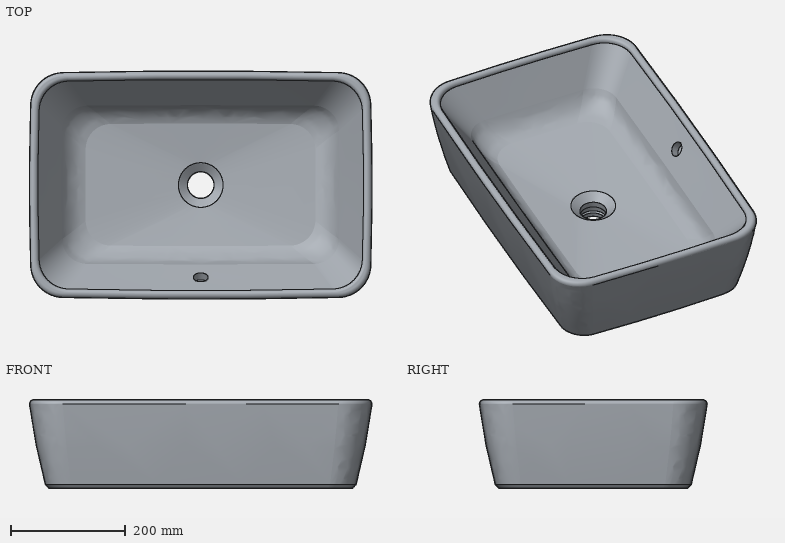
import cadquery as cq
import math

LENGTH = 598.13
WIDTH = 398.12
HEIGHT = 155.0


RIM_OUTER_Z = 147.0
WAIST_Z = 77.0
FOOT_Z = 7.0
WAIST_INSET = 11.5
FOOT_INSET = 27.5
BASE_INSET = 34.0
OUTER_BOW = 4.0
OUTER_CORNER = 58.0
CORNER_SHRINK = 0.5

RIM_WIDTH = 15.0
RIM_INNER_Z = 147.0
RIM_OUTER_RADIUS = 7.8
RIM_INNER_RADIUS = 7.0

BASIN_BOW = 4.0
BASIN_CORNER = 52.0
SHOULDER_LENGTH = 485.0
SHOULDER_WIDTH = 278.0
SHOULDER_Z = 87.0
SHOULDER_BOW = 1.5
SHOULDER_CORNER = 44.0
FLOOR_LENGTH = 402.0
FLOOR_WIDTH = 214.0
FLOOR_EDGE_Z = 53.5
FLOOR_BOW = 1.5
FLOOR_CORNER = 44.0
COVE_SAG = 4.0

DRAIN_MOUTH_DIAMETER = 78.0
DRAIN_SEAT_DIAMETER = 73.0
DRAIN_HOLE_DIAMETER = 46.0
DRAIN_MOUTH_Z = 45.0
DRAIN_SEAT_Z = 43.5
DRAIN_HOLE_Z = 33.0

GROOVE_DEPTH = 2.7
GROOVE_TOP_Z = 22.0
GROOVE_BOTTOM_Z = 8.0

OVERFLOW_DIAMETER = 25.5
OVERFLOW_Y = -161.0
OVERFLOW_DEPTH = 15.0


def outline(length, width, bow, corner_radius, z):
    """Closed wire at height z with four bowed sides and rounded corners."""
    x = length / 2 - bow
    y = width / 2 - bow
    sharp = (
        cq.Workplane("XY")
        .moveTo(-x, -y)
        .threePointArc((0, -width / 2), (x, -y))
        .threePointArc((length / 2, 0), (x, y))
        .threePointArc((0, width / 2), (-x, y))
        .threePointArc((-length / 2, 0), (-x, -y))
        .wire()
        .val()
    )
    face = cq.Face.makeFromWires(sharp)
    rounded = face.fillet2D(corner_radius, face.Vertices())
    return rounded.outerWire().translate(cq.Vector(0, 0, z))


def outer_outline(inset, z):
    """Outline of the outer shell, set in from the rim on every side."""
    corner = OUTER_CORNER - CORNER_SHRINK * inset
    return outline(LENGTH - 2 * inset, WIDTH - 2 * inset, OUTER_BOW, corner, z)


def drain_outline():
    """Mouth of the drain: a circle split into eight arcs like the other outlines."""
    radius = DRAIN_MOUTH_DIAMETER / 2
    arc_count = 8
    arc_span = 2 * math.pi / arc_count

    def rim_point(angle):
        return cq.Vector(radius * math.cos(angle), radius * math.sin(angle), DRAIN_MOUTH_Z)

    arcs = []
    for i in range(arc_count):
        middle = i * arc_span
        start = rim_point(middle - arc_span / 2)
        end = rim_point(middle + arc_span / 2)
        arcs.append(cq.Edge.makeThreePointArc(start, rim_point(middle), end))
    return cq.Wire.assembleEdges(arcs)


def loft(*wires, ruled=False):
    """Solid through the given wires, smooth or straight between them."""
    return cq.Workplane(cq.Solid.makeLoft(list(wires), ruled))


def make_body():
    """Solid outer shape with a rounded upper edge."""
    base = outer_outline(BASE_INSET, 0)
    foot = outer_outline(FOOT_INSET, FOOT_Z)
    waist = outer_outline(WAIST_INSET, WAIST_Z)
    rim = outer_outline(0, RIM_OUTER_Z)
    rim_top = outer_outline(0, HEIGHT)
    rim_band = loft(rim, rim_top, ruled=True).faces(">Z").edges().fillet(RIM_OUTER_RADIUS)
    return loft(base, foot, ruled=True).union(loft(foot, waist, rim)).union(rim_band)


def make_basin():
    """Hollow of the basin, stacked from floor, cove, wall and rim opening."""
    opening_length = LENGTH - 2 * RIM_WIDTH
    opening_width = WIDTH - 2 * RIM_WIDTH
    floor_edge = outline(FLOOR_LENGTH, FLOOR_WIDTH, FLOOR_BOW, FLOOR_CORNER, FLOOR_EDGE_Z)
    cove_middle = outline(
        (FLOOR_LENGTH + SHOULDER_LENGTH) / 2 + 2 * COVE_SAG,
        (FLOOR_WIDTH + SHOULDER_WIDTH) / 2 + 2 * COVE_SAG,
        (FLOOR_BOW + SHOULDER_BOW) / 2,
        (FLOOR_CORNER + SHOULDER_CORNER) / 2,
        (FLOOR_EDGE_Z + SHOULDER_Z) / 2 - COVE_SAG,
    )
    shoulder = outline(SHOULDER_LENGTH, SHOULDER_WIDTH, SHOULDER_BOW, SHOULDER_CORNER, SHOULDER_Z)
    rim_inner = outline(opening_length, opening_width, BASIN_BOW, BASIN_CORNER, RIM_INNER_Z)
    opening = outline(opening_length, opening_width, BASIN_BOW, BASIN_CORNER, HEIGHT)
    basin = loft(drain_outline(), floor_edge, ruled=True)
    basin = basin.union(loft(floor_edge, cove_middle, shoulder))
    basin = basin.union(loft(shoulder, rim_inner, ruled=True))
    return basin.union(loft(rim_inner, opening, ruled=True))


def make_drain():
    """Revolved hollow: lip, conical seat and a bore with a groove inside it."""
    bore = DRAIN_HOLE_DIAMETER / 2
    groove = bore + GROOVE_DEPTH
    return (
        cq.Workplane("XZ")
        .lineTo(bore, 0)
        .lineTo(bore, GROOVE_BOTTOM_Z)
        .lineTo(groove, GROOVE_BOTTOM_Z + GROOVE_DEPTH)
        .lineTo(groove, GROOVE_TOP_Z)
        .lineTo(bore, GROOVE_TOP_Z)
        .lineTo(bore, DRAIN_HOLE_Z)
        .lineTo(DRAIN_SEAT_DIAMETER / 2, DRAIN_SEAT_Z)
        .lineTo(DRAIN_MOUTH_DIAMETER / 2, DRAIN_MOUTH_Z)
        .lineTo(0, FLOOR_EDGE_Z)
        .close()
        .revolve(360, (0, 0, 0), (0, 1, 0))
    )


def make_overflow():
    """Blind round hole square to the sloping -Y wall."""
    wall_run = WIDTH / 2 - RIM_WIDTH - SHOULDER_WIDTH / 2
    wall_rise = RIM_INNER_Z - SHOULDER_Z
    z = SHOULDER_Z + (-OVERFLOW_Y - SHOULDER_WIDTH / 2) * wall_rise / wall_run
    into_wall = cq.Vector(0, -wall_rise, -wall_run).normalized()
    start = cq.Vector(0, OVERFLOW_Y, z) - into_wall * OVERFLOW_DEPTH
    return cq.Workplane(
        cq.Solid.makeCylinder(OVERFLOW_DIAMETER / 2, 2 * OVERFLOW_DEPTH, start, into_wall)
    )


def round_rim(part):
    """Round the inner edge of the rim, the hole in its flat top face."""
    opening = part.faces(">Z").val().innerWires()[0]
    return part.newObject(opening.Edges()).fillet(RIM_INNER_RADIUS)


sink = make_body().cut(make_basin())
sink = sink.cut(make_drain()).cut(make_overflow())
result = round_rim(sink)